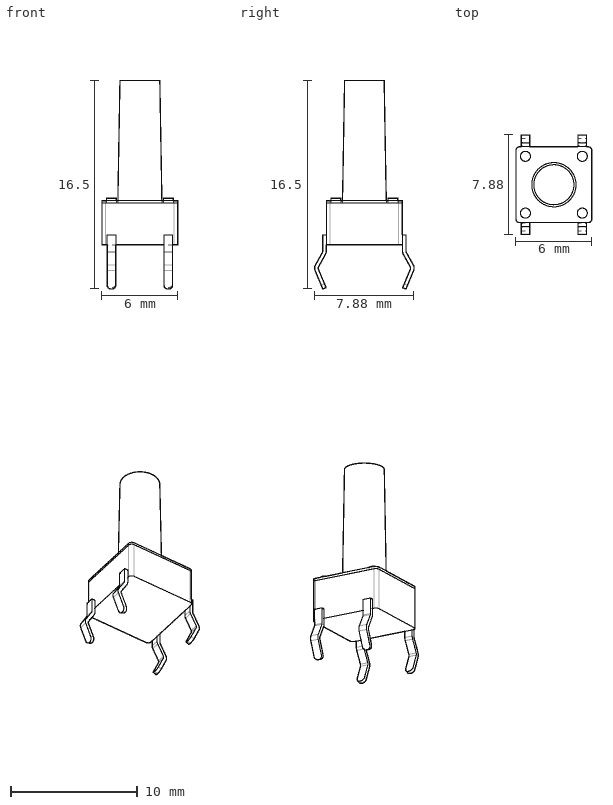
import cadquery as cq
import math

BODY_SIDE = 6.0
BODY_HEIGHT = 3.5
COVER_THICKNESS = 0.2
CORNER_RADIUS = 0.3
BASE_HEIGHT = BODY_HEIGHT - COVER_THICKNESS

PLUNGER_TOP = 13.0
PLUNGER_DIAMETER = 3.5
PLUNGER_TIP_DIAMETER = 3.17

RIVET_DIAMETER = 0.8
RIVET_HEIGHT = 0.2
GRID_OFFSET = 2.25
RIVET_CENTRES = [(x, y) for x in (-GRID_OFFSET, GRID_OFFSET) for y in (-GRID_OFFSET, GRID_OFFSET)]

LEG_WIDTH = 0.7
LEG_THICKNESS = 0.3
LEG_TOP = 0.8
LEG_BOTTOM = -3.5
UPPER_BEND_Z = -0.6
KNEE_Z = -1.82
KNEE_OFFSET = 0.68
TIP_RADIUS = 0.33
INNER_BEND_RADIUS = 0.2
OUTER_BEND_RADIUS = INNER_BEND_RADIUS + LEG_THICKNESS


def make_housing():
    """Base, rivets and plunger moulded together, passing up through the cover."""
    base = (
        cq.Workplane("XY")
        .rect(BODY_SIDE, BODY_SIDE)
        .extrude(BASE_HEIGHT)
        .edges("|Z")
        .fillet(CORNER_RADIUS)
    )
    rivets = (
        cq.Workplane("XY", origin=(0, 0, BASE_HEIGHT))
        .pushPoints(RIVET_CENTRES)
        .circle(RIVET_DIAMETER / 2)
        .extrude(COVER_THICKNESS + RIVET_HEIGHT)
    )
    plunger = (
        cq.Workplane("XZ")
        .moveTo(0, BASE_HEIGHT)
        .lineTo(PLUNGER_DIAMETER / 2, BASE_HEIGHT)
        .lineTo(PLUNGER_DIAMETER / 2, BODY_HEIGHT)
        .lineTo(PLUNGER_TIP_DIAMETER / 2, PLUNGER_TOP)
        .lineTo(0, PLUNGER_TOP)
        .close()
        .revolve(360, (0, 0, 0), (0, 1, 0))
    )
    return base.union(rivets).union(plunger)


def make_cover():
    """Flat plate with close-fitting holes for the plunger and the rivets."""
    plate = (
        cq.Workplane("XY", origin=(0, 0, BASE_HEIGHT))
        .rect(BODY_SIDE, BODY_SIDE)
        .extrude(COVER_THICKNESS)
        .edges("|Z")
        .fillet(CORNER_RADIUS)
    )
    holes = (
        cq.Workplane("XY", origin=(0, 0, BASE_HEIGHT))
        .circle(PLUNGER_DIAMETER / 2)
        .pushPoints(RIVET_CENTRES)
        .circle(RIVET_DIAMETER / 2)
        .extrude(COVER_THICKNESS)
    )
    return plate.cut(holes)


def make_leg():
    """Leg on the +Y side, centred on X = 0: vertical, out to the knee, back in to a round tip."""
    half = LEG_THICKNESS / 2
    straight_y = BODY_SIDE / 2 + half
    knee_y = straight_y + KNEE_OFFSET
    out_angle = math.atan2(KNEE_OFFSET, UPPER_BEND_Z - KNEE_Z)
    in_angle = math.atan2(KNEE_OFFSET, KNEE_Z - LEG_BOTTOM)
    tip_z = LEG_BOTTOM + half * math.sin(in_angle)

    upper_reach = half / math.cos(out_angle / 2)
    knee_reach = half / math.cos((out_angle + in_angle) / 2)
    knee_tilt = (out_angle - in_angle) / 2
    centres = [
        (straight_y, LEG_TOP),
        (straight_y, UPPER_BEND_Z),
        (knee_y, KNEE_Z),
        (straight_y, tip_z),
    ]
    offsets = [
        (half, 0),
        (upper_reach * math.cos(out_angle / 2), upper_reach * math.sin(out_angle / 2)),
        (knee_reach * math.cos(knee_tilt), knee_reach * math.sin(knee_tilt)),
        (half * math.cos(in_angle), -half * math.sin(in_angle)),
    ]
    outer = [(y + dy, z + dz) for (y, z), (dy, dz) in zip(centres, offsets)]
    inner = [(y - dy, z - dz) for (y, z), (dy, dz) in zip(centres, offsets)]
    strip = (
        cq.Workplane("YZ")
        .polyline(outer + inner[::-1])
        .close()
        .extrude(LEG_WIDTH / 2, both=True)
    )

    def bend_edge(point):
        return cq.selectors.NearestToPointSelector((0, *point))

    def round_bend(leg, inside, outside):
        leg = leg.edges("|X").edges(bend_edge(inside)).fillet(INNER_BEND_RADIUS)
        return leg.edges("|X").edges(bend_edge(outside)).fillet(OUTER_BEND_RADIUS)

    strip = round_bend(strip, outer[1], inner[1])
    strip = round_bend(strip, inner[2], outer[2])
    tip_corners = strip.faces("<Z").edges("not |X")
    return tip_corners.fillet(TIP_RADIUS)


def make_legs():
    """Four separate legs: two on the +Y side and two turned round to the -Y side."""
    leg = make_leg()
    return [
        leg.rotate((0, 0, 0), (0, 0, 1), turn).translate((x, 0, 0))
        for turn in (0, 180)
        for x in (-GRID_OFFSET, GRID_OFFSET)
    ]


housing = make_housing()
cover = make_cover()
legs = make_legs()

result = cq.Compound.makeCompound([housing.val(), cover.val(), *[leg.val() for leg in legs]])